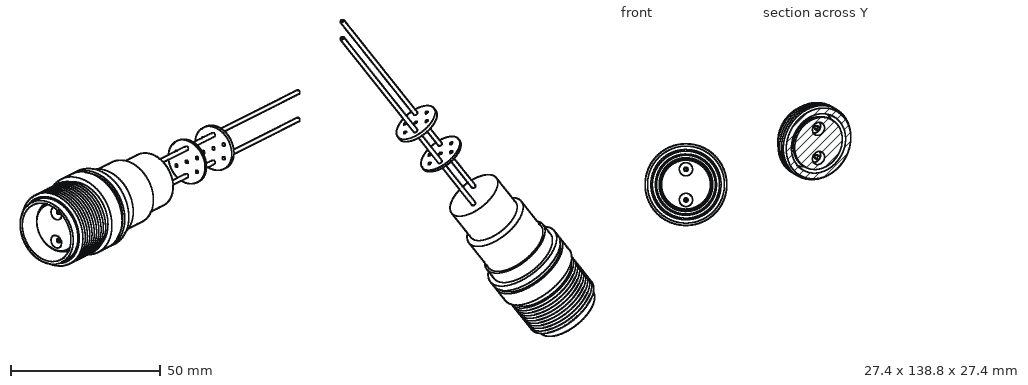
import cadquery as cq
import math

total_length = 138.8

neck_front = 15.7
collar_front = 18.0
collar_rear = 23.6
ring_front = 25.1
ring_rear = 27.3
shoulder_rear = 31.9
barrel_rear = 44.1
tail_front = 45.2
shell_rear = 57.2

flange_radius = 13.7
relief_radius = 12.9
neck_radius = 12.1
barrel_radius = 11.2
tail_radius = 9.6

thread_pitch = 1.2
crest_count = 11
crest_radius = 12.9
root_radius = 11.8

bore_radius = 10.3
insulator_depth = 5.3
insulator_tip_radius = 8.6
insulator_tip_length = 1.4
insulator_chamfer = 0.4
taper_front_radius = 9.0
taper_rear_radius = 9.9
taper_length = 5.5

socket_offset = 5.1
socket_radius = 2.2
socket_depth = 4.2
pin_radius = 0.7
pin_recess = 0.8
pin_chamfer = 0.3

grid_spacing = 5.0
wire_radius = 0.75
wire_tip_chamfer = 0.4

spacer_radius = 7.8
spacer_hole_radius = 0.5
front_spacer_start = 77.0
front_spacer_thickness = 0.8
rear_spacer_start = 91.7
rear_spacer_thickness = 1.2


def cylinder(radius, start, end, x=0.0, z=0.0):
    """Cylinder parallel to Y between two axial stations."""
    axis_start = cq.Vector(x, start, z)
    return cq.Workplane(obj=cq.Solid.makeCylinder(radius, end - start, axis_start, cq.Vector(0, 1, 0)))


def thread_outline():
    """(radius, station) points of the V rings, from the front end to the neck."""
    points = []
    for ring in reversed(range(crest_count)):
        crest_station = neck_front - ring * thread_pitch
        points.append((root_radius, crest_station - thread_pitch / 2))
        points.append((crest_radius, crest_station))
    return points


def make_shell():
    """Turned shell with its bore and the insulator left standing inside."""
    step_depth = insulator_depth + insulator_tip_length
    bore_depth = step_depth + taper_length
    bore_outline = [
        (0, insulator_depth),
        (insulator_tip_radius - insulator_chamfer, insulator_depth),
        (insulator_tip_radius, insulator_depth + insulator_chamfer),
        (insulator_tip_radius, step_depth),
        (taper_front_radius, step_depth),
        (taper_rear_radius, bore_depth),
        (bore_radius, bore_depth),
        (bore_radius, 0),
    ]
    thread_points = thread_outline()
    thread_start = thread_points[0][1]
    outer_outline = [
        (barrel_radius, 0),
        (barrel_radius, thread_start),
        *thread_points,
        (neck_radius, neck_front),
        (neck_radius, collar_front),
        (flange_radius, collar_front),
        (flange_radius, collar_rear),
        (relief_radius, collar_rear),
        (relief_radius, ring_front),
        (flange_radius, ring_front),
        (flange_radius, ring_rear),
        (neck_radius, ring_rear),
        (neck_radius, shoulder_rear),
        (barrel_radius, shoulder_rear),
        (barrel_radius, barrel_rear),
        (tail_radius, tail_front),
        (tail_radius, shell_rear),
        (0, shell_rear),
    ]
    outline = cq.Workplane("XY").polyline(bore_outline + outer_outline).close()
    return outline.revolve(360, (0, 0, 0), (0, 1, 0))


def make_spacer(start, thickness):
    """Disc with a centre hole and the four grid holes that carry no wire."""
    end = start + thickness
    spacer = cylinder(spacer_radius, start, end)
    spacer = spacer.cut(cylinder(spacer_hole_radius, start, end))
    for angle in (30, 150, 210, 330):
        x = grid_spacing * math.cos(math.radians(angle))
        z = grid_spacing * math.sin(math.radians(angle))
        spacer = spacer.cut(cylinder(spacer_hole_radius, start, end, x, z))
    return spacer


def make_socket(z):
    """Round recess in the insulator, leaving the contact pin in its middle."""
    socket_bottom = insulator_depth + socket_depth
    pin_tip = insulator_depth + pin_recess
    pin = cylinder(pin_radius, pin_tip, socket_bottom, z=z)
    pin = pin.faces("<Y").chamfer(pin_chamfer)
    return cylinder(socket_radius, insulator_depth, socket_bottom, z=z).cut(pin)


def make_wire(z):
    """Wire from the rear of the shell to the free end."""
    wire = cylinder(wire_radius, shell_rear, total_length, z=z)
    return wire.faces(">Y").chamfer(wire_tip_chamfer)


result = make_shell()
result = result.union(make_spacer(front_spacer_start, front_spacer_thickness))
result = result.union(make_spacer(rear_spacer_start, rear_spacer_thickness))
for side in (1, -1):
    result = result.cut(make_socket(side * socket_offset))
    result = result.union(make_wire(side * grid_spacing))